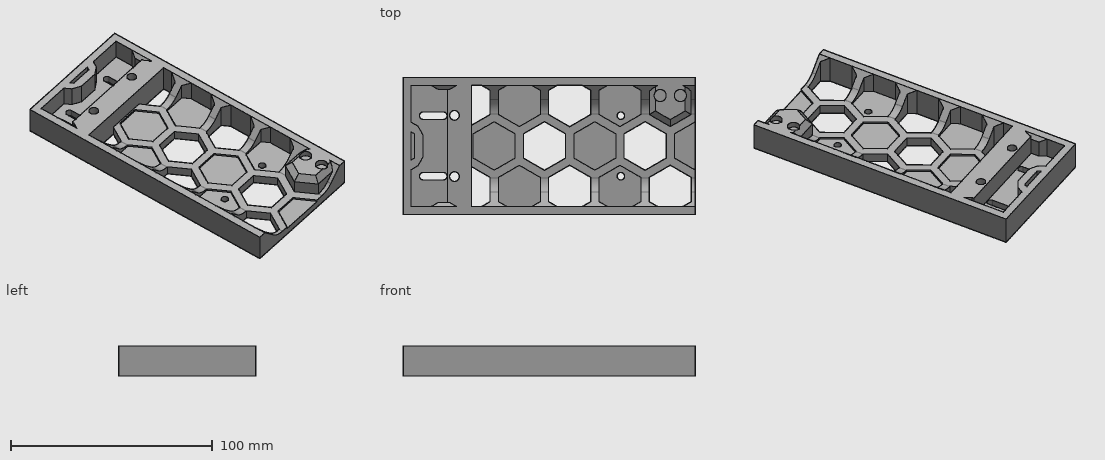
import cadquery as cq
import math

LENGTH = 145.0
WIDTH = 68.0
HEIGHT = 15.0
WALL = 4.0
RIB_TOP = 5.0
FLOOR = 4.0
INNER_Y = WIDTH / 2 - WALL

FLANK_RISE = HEIGHT - RIB_TOP
FLANK_FOOT_Y = INNER_Y - FLANK_RISE
FLANK_ANGLE = math.pi / 4
BLEND_RADIUS = 10.0

CELL_RADIUS = 12.0
HALF_CORNER = math.pi / 6
CELL_APOTHEM = CELL_RADIUS * math.cos(HALF_CORNER)
SPACING_RATIO = 1.2
PITCH_X = 2 * CELL_APOTHEM * SPACING_RATIO
PITCH_Y = PITCH_X * math.cos(HALF_CORNER)
ROW_X = 45.2
CLOSED_MIDDLE_CELLS = (0, 2, 4)
OPEN_MIDDLE_CELLS = (1, 3)
CLOSED_SIDE_CELLS = (0.5, 2.5)
OPEN_SIDE_CELLS = (1.5,)
BAR_CELL = -0.5
COMPARTMENT_CELL = -1.5
BOSS_CELL = 3.5
SIDE_ROWS = (-1, 1)
BOSS_ROW = 1

BAR_START = 22.0
BAR_END = 34.0
COMPARTMENT_HALF_Y = 28.0
FASTENER_Y = 15.0
BAR_HOLE_X = 25.5
BAR_HOLE_Y = 15.2
BAR_HOLE_DIAMETER = 4.7
FLOOR_HOLE_X = 108.0
FLOOR_HOLE_DIAMETER = 3.6
SLOT_START = 8.2
SLOT_END = 21.8
SLOT_WIDTH = FLOOR_HOLE_DIAMETER

BUMP_CELL = -2
BUMP_END = 10.0
BUMP_END_HALF_Y = 5.3
BUMP_SHOULDER_X = 7.4

BOSS_CHAMFER = 3.0
MAGNET_DIAMETER = 6.0
MAGNET_DEPTH = 3.0
MAGNET_SPACING = 10.0
MAGNET_Y = 25.0


def box(x_min, x_max, y_min, y_max, z_min, z_max):
    return cq.Workplane("XY").box(
        x_max - x_min, y_max - y_min, z_max - z_min, centered=False
    ).translate((x_min, y_min, z_min))


def cell_x(index):
    return ROW_X + index * PITCH_X


def cell_prism(index, row, z_min):
    """Hexagonal prism with corners pointing along Y, from z_min to the top of the tray."""
    return (
        cq.Workplane("XY")
        .polygon(6, 2 * CELL_RADIUS)
        .extrude(HEIGHT - z_min)
        .rotate((0, 0, 0), (0, 0, 1), math.degrees(HALF_CORNER))
        .translate((cell_x(index), row * PITCH_Y, z_min))
    )


def vertical_hole(x, y, diameter, z_min):
    return cq.Workplane("XY", origin=(x, y, z_min)).circle(diameter / 2).extrude(HEIGHT - z_min)


def make_shell():
    """End wall plus the side wall, flank and rib slab section run along X."""
    tangent = BLEND_RADIUS * math.tan(FLANK_ANGLE / 2)
    blend_start_y = FLANK_FOOT_Y - tangent
    blend_end = tangent * math.cos(FLANK_ANGLE)
    mid_angle = FLANK_ANGLE / 2
    mid_y = blend_start_y + BLEND_RADIUS * math.sin(mid_angle)
    mid_z = RIB_TOP + BLEND_RADIUS * (1 - math.cos(mid_angle))
    end_y = FLANK_FOOT_Y + blend_end
    end_z = RIB_TOP + blend_end
    section = (
        cq.Workplane("YZ")
        .moveTo(0, 0)
        .lineTo(WIDTH / 2, 0)
        .lineTo(WIDTH / 2, HEIGHT)
        .lineTo(INNER_Y, HEIGHT)
        .lineTo(end_y, end_z)
        .threePointArc((mid_y, mid_z), (blend_start_y, RIB_TOP))
        .lineTo(0, RIB_TOP)
        .close()
        .extrude(LENGTH)
    )
    end_wall = box(0, WALL, -WIDTH / 2, WIDTH / 2, 0, HEIGHT)
    return section.union(section.mirror("XZ")).union(end_wall)


def cut_honeycomb(body):
    interior = box(BAR_START, LENGTH, -INNER_Y, INNER_Y, 0, HEIGHT)
    cells = [(index, 0, FLOOR) for index in CLOSED_MIDDLE_CELLS]
    cells += [(index, 0, 0) for index in OPEN_MIDDLE_CELLS]
    for row in SIDE_ROWS:
        cells += [(index, row, FLOOR) for index in CLOSED_SIDE_CELLS]
        cells += [(index, row, 0) for index in (BAR_CELL,) + OPEN_SIDE_CELLS]
    cells.append((BOSS_CELL, -BOSS_ROW, 0))
    for index, row, z_min in cells:
        body = body.cut(cell_prism(index, row, z_min).intersect(interior))
    return body


def cut_compartment(body):
    """Clear the closed end down to the floor, leaving the flank stubs by the side walls."""
    interior = box(WALL, BAR_START, -INNER_Y, INNER_Y, FLOOR, HEIGHT)
    body = body.cut(box(WALL, BAR_START, -COMPARTMENT_HALF_Y, COMPARTMENT_HALF_Y, FLOOR, HEIGHT))
    for row in SIDE_ROWS:
        body = body.cut(cell_prism(COMPARTMENT_CELL, row, FLOOR).intersect(interior))
    return body


def add_bar(body):
    """Full-height bar whose ends fill the side cells beside it."""
    bar = box(BAR_START, BAR_END, -COMPARTMENT_HALF_Y, COMPARTMENT_HALF_Y, 0, HEIGHT)
    limits = box(BAR_START, BAR_END, -INNER_Y, INNER_Y, 0, HEIGHT)
    for row in SIDE_ROWS:
        bar = bar.union(cell_prism(BAR_CELL, row, 0).intersect(limits))
    return body.union(bar)


def add_bump(body):
    """Full-height bump bounded by the ribs around a half-buried cell, which is hollowed out."""
    outer_apothem = PITCH_X - CELL_APOTHEM
    outer_radius = outer_apothem / math.cos(HALF_CORNER)

    def edge_y(x):
        return outer_radius - (x - cell_x(BUMP_CELL)) * math.tan(HALF_CORNER)

    upper = [
        (WALL, edge_y(WALL)),
        (BUMP_SHOULDER_X, edge_y(BUMP_SHOULDER_X)),
        (BUMP_END, BUMP_END_HALF_Y),
    ]
    lower = [(x, -y) for x, y in reversed(upper)]
    bump = cq.Workplane("XY").polyline(upper + lower).close().extrude(HEIGHT)
    interior = box(WALL, BUMP_END, -INNER_Y, INNER_Y, FLOOR, HEIGHT)
    return body.union(bump).cut(cell_prism(BUMP_CELL, 0, FLOOR).intersect(interior))


def add_boss(body):
    """Filled side cell, chamfered on the four edges away from the wall."""
    x = cell_x(BOSS_CELL)
    shoulder_y = BOSS_ROW * PITCH_Y - CELL_RADIUS / 2
    tip_y = BOSS_ROW * PITCH_Y - CELL_RADIUS
    outline = [
        (x - CELL_APOTHEM, WIDTH / 2),
        (x - CELL_APOTHEM, shoulder_y),
        (x, tip_y),
        (x + CELL_APOTHEM, shoulder_y),
        (x + CELL_APOTHEM, WIDTH / 2),
    ]
    blank = cq.Workplane("XY").polyline(outline).close().extrude(HEIGHT)
    chamfered = blank.faces(">Z").edges("not >Y").chamfer(BOSS_CHAMFER)
    limits = box(0, LENGTH, 0, INNER_Y, 0, HEIGHT)
    body = body.union(cell_prism(BOSS_CELL, BOSS_ROW, 0).intersect(chamfered).intersect(limits))
    for side in (-1, 1):
        magnet_x = x + side * MAGNET_SPACING / 2
        body = body.cut(vertical_hole(magnet_x, MAGNET_Y, MAGNET_DIAMETER, HEIGHT - MAGNET_DEPTH))
    return body


def cut_fastener_holes(body):
    for side in (-1, 1):
        y = side * FASTENER_Y
        body = body.cut(vertical_hole(BAR_HOLE_X, side * BAR_HOLE_Y, BAR_HOLE_DIAMETER, 0))
        body = body.cut(vertical_hole(FLOOR_HOLE_X, y, FLOOR_HOLE_DIAMETER, 0))
        slot = (
            cq.Workplane("XY", origin=((SLOT_START + SLOT_END) / 2, y, 0))
            .slot2D(SLOT_END - SLOT_START, SLOT_WIDTH)
            .extrude(FLOOR)
        )
        body = body.cut(slot)
    return body


tray = make_shell()
tray = cut_honeycomb(tray)
tray = cut_compartment(tray)
tray = add_bar(tray)
tray = add_bump(tray)
tray = add_boss(tray)
result = cut_fastener_holes(tray)